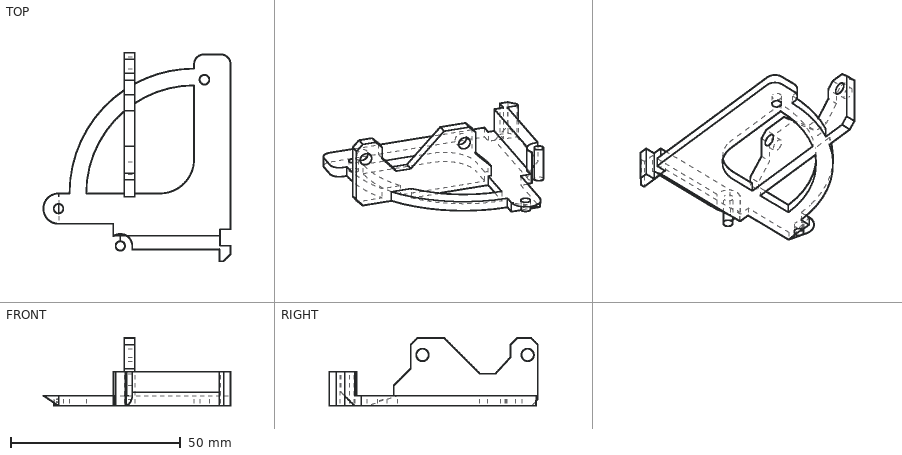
import cadquery as cq


plate_thickness = 3.0
arm_radius = 4.5
right_edge = 50.74
column_left = 39.9
column_top = 45.5
column_corner_radius = 3.0
inner_corner_radius = 10.0
step_left = 16.1
hole_diameter = 2.8
column_hole_x = 43.0
column_hole_y = 38.0
pivot_floor = 0.2

strut_center_x = 40.0
strut_outer_radius = 36.8
strut_width = 5.0

bar_height = 10.1
bar_back = -8.0
bar_depth = 4.05
bar_front = bar_back - bar_depth
bar_right = 47.6

hook_left = 47.4
hook_front = -15.51
hook_back = -10.9
hook_chamfer = 2.1
notch_back = -6.1

pin_x = 18.2
pin_y = -11.0
pin_diameter = 2.8
clearance_radius = 3.5
rim_thickness = 0.06
web_width = 0.1
web_height = 0.1

bracket_left = 19.35
bracket_thickness = 3.15
bracket_height = 20.0
bracket_hole_diameter = 3.6
bracket_hole_z = 15.0
bracket_hole_pitch = 31.0
bracket_rear = 46.0
bracket_rear_margin = 3.0
bracket_rear_hole_y = bracket_rear - bracket_rear_margin
bracket_front_hole_y = bracket_rear_hole_y - bracket_hole_pitch
bracket_chamfer = 2.0
rear_lug_front = 37.9
rear_lug_bottom = 14.3
saddle_z = 9.5
saddle_rear = 33.5
saddle_front = 28.9
front_lug_rear = saddle_front - (bracket_height - saddle_z)
front_lug_front = 8.5
bracket_front = 3.5
bracket_front_height = 6.0
front_lug_bottom = bracket_front_height + front_lug_front - bracket_front


def box(x_min, x_max, y_min, y_max, z_min, z_max):
    """Axis-aligned box between the given limits."""
    size = (x_max - x_min, y_max - y_min, z_max - z_min)
    return cq.Workplane("XY").box(*size, centered=False).translate((x_min, y_min, z_min))


def cylinder(x, y, diameter, height):
    """Upright cylinder standing on the underside of the part."""
    return cq.Workplane("XY").center(x, y).circle(diameter / 2).extrude(height)


def make_base():
    """Arm, column and front step of the flat plate."""
    base = (
        cq.Workplane("XY")
        .moveTo(0, -arm_radius)
        .lineTo(step_left, -arm_radius)
        .lineTo(step_left, bar_back)
        .lineTo(right_edge, bar_back)
        .lineTo(right_edge, column_top)
        .lineTo(column_left, column_top)
        .lineTo(column_left, arm_radius)
        .lineTo(0, arm_radius)
        .close()
        .extrude(plate_thickness)
    )
    base = base.edges("|Z and >Y").fillet(column_corner_radius)
    inner_corner = cq.selectors.NearestToPointSelector((column_left, arm_radius, plate_thickness / 2))
    return base.edges("|Z").edges(inner_corner).fillet(inner_corner_radius)


def make_strut():
    """Quarter-ring strut, kept between the arm and the column."""
    ring = (
        cq.Workplane("XY")
        .center(strut_center_x, arm_radius)
        .circle(strut_outer_radius)
        .circle(strut_outer_radius - strut_width)
        .extrude(plate_thickness)
    )
    return ring.intersect(box(0, column_left, arm_radius, column_top, 0, plate_thickness))


def make_tip():
    """Oblique half cone: half disc on top, apex at the lower front corner of the arm."""
    rim = cq.Edge.makeThreePointArc(
        cq.Vector(0, arm_radius, plate_thickness),
        cq.Vector(-arm_radius, 0, plate_thickness),
        cq.Vector(0, -arm_radius, plate_thickness),
    )
    diameter = cq.Edge.makeLine(rim.endPoint(), rim.startPoint())
    outline = cq.Wire.assembleEdges([rim, diameter])
    apex = cq.Vertex.makeVertex(0, -arm_radius, 0)
    top_face = cq.Face.makeFromWires(outline)
    return cq.Workplane(cq.occ_impl.shapes.loft(top_face, apex, cap=True, ruled=True))


def add_pivot(body, tip):
    """Half post below the tip, and a blind pivot hole whose floor follows the tip's underside."""
    post = cylinder(0, 0, hole_diameter, plate_thickness)
    half_post = post.intersect(box(-arm_radius, 0, -arm_radius, arm_radius, 0, plate_thickness))
    above_arm_floor = box(0, arm_radius, -arm_radius, arm_radius, pivot_floor, plate_thickness)
    above_tip_floor = tip.translate((0, 0, pivot_floor))
    hole = post.intersect(above_arm_floor.union(above_tip_floor))
    return body.union(half_post).cut(hole)


def make_bar():
    """Raised bar whose lower front is undercut from its back edge up to its front face."""
    return (
        cq.Workplane("YZ")
        .moveTo(bar_back, 0)
        .lineTo(bar_back, bar_height)
        .lineTo(bar_front, bar_height)
        .lineTo(bar_front, bar_depth)
        .close()
        .extrude(bar_right - step_left)
        .translate((step_left, 0, 0))
    )


def make_hook():
    """Full-height hook with a chamfered corner, and the strip joining it to the plate."""
    hook = box(hook_left, right_edge, hook_front, hook_back, 0, bar_height)
    hook = hook.edges("|Z and >X and <Y").chamfer(hook_chamfer)
    strip = box(hook_left, bar_right, bar_front, bar_back, 0, bar_height)
    return hook.union(strip)


def make_clearance():
    """Round-ended slot around the guide pin, open to the front."""
    round_end = cylinder(pin_x, pin_y, 2 * clearance_radius, bar_height)
    mouth = box(pin_x - clearance_radius, pin_x + clearance_radius, hook_front, pin_y, 0, bar_height)
    return round_end.union(mouth)


def make_rim():
    """Thin wall that closes the round end of the slot behind the bar."""
    wall = cylinder(pin_x, pin_y, 2 * (clearance_radius + rim_thickness), bar_height)
    wall = wall.cut(cylinder(pin_x, pin_y, 2 * clearance_radius, bar_height))
    return wall.intersect(box(step_left, right_edge, bar_back, 0, 0, bar_height))


def make_pin():
    """Guide pin, tied to the base plate by a fine web at its foot."""
    web = box(pin_x - web_width / 2, pin_x + web_width / 2, pin_y, bar_back, 0, web_height)
    return cylinder(pin_x, pin_y, pin_diameter, bar_height).union(web)


def make_bracket():
    """Upright bracket with two drilled lugs."""
    outline = [
        (bracket_front, 0),
        (bracket_front, bracket_front_height),
        (front_lug_front, front_lug_bottom),
        (front_lug_front, bracket_height - bracket_chamfer),
        (front_lug_front + bracket_chamfer, bracket_height),
        (front_lug_rear, bracket_height),
        (saddle_front, saddle_z),
        (saddle_rear, saddle_z),
        (rear_lug_front, rear_lug_bottom),
        (rear_lug_front, bracket_height - bracket_chamfer),
        (rear_lug_front + bracket_chamfer, bracket_height),
        (bracket_rear - bracket_chamfer, bracket_height),
        (bracket_rear, bracket_height - bracket_chamfer),
        (bracket_rear, bracket_chamfer),
        (bracket_rear - bracket_chamfer, 0),
    ]
    holes = [(bracket_front_hole_y, bracket_hole_z), (bracket_rear_hole_y, bracket_hole_z)]
    drills = cq.Workplane("YZ").pushPoints(holes).circle(bracket_hole_diameter / 2)
    bracket = cq.Workplane("YZ").polyline(outline).close().extrude(bracket_thickness)
    return bracket.cut(drills.extrude(bracket_thickness)).translate((bracket_left, 0, 0))


tip = make_tip()
notch = box(bar_right, right_edge, hook_back, notch_back, 0, bar_height)

result = make_base().union(make_strut()).union(tip)
result = add_pivot(result, tip)
result = result.union(make_bar().cut(make_clearance())).cut(notch).union(make_hook())
result = result.union(make_rim()).union(make_pin())
result = result.cut(cylinder(column_hole_x, column_hole_y, hole_diameter, plate_thickness))
result = result.union(make_bracket())